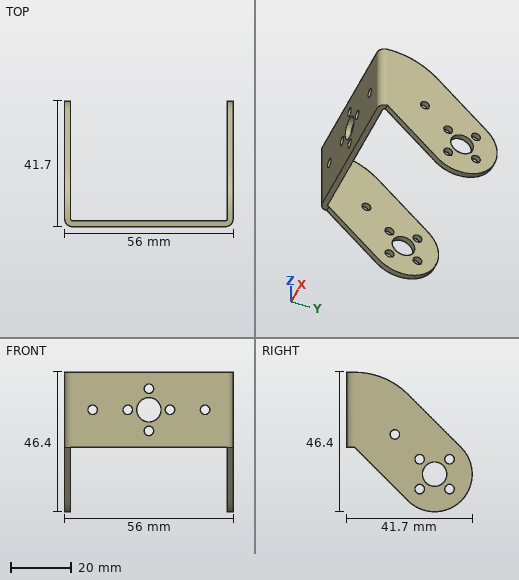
import cadquery as cq
import math

bracket_width = 56.0
overall_height = 46.35
thickness = 2.0
bend_radius = 2.7
arm_angle = math.radians(45)

center_hole_diameter = 8.0
small_hole_diameter = 3.1
bolt_circle_radius = 7.0
outlying_hole_distance = 18.65

drop_share = math.sin(arm_angle) - math.cos(arm_angle) / 2 + 0.5
band_width = overall_height / (1 + drop_share)
arm_length = band_width

half_width = bracket_width / 2
half_band = band_width / 2
inner_bend_radius = bend_radius - thickness
along_y = math.cos(arm_angle)
along_z = -math.sin(arm_angle)
across_y = -along_z
across_z = along_y


def arm_point(along, across):
    """(Y, Z) of a point measured from the corner, along and across the arm."""
    y = bend_radius + along * along_y + across * across_y
    z = along * along_z + across * across_z
    return y, z


def polar_offsets(radius, start_angle):
    """Four points evenly spaced on a circle."""
    angles = [start_angle + i * math.pi / 2 for i in range(4)]
    return [(radius * math.cos(a), radius * math.sin(a)) for a in angles]


def make_channel(bottom, height, depth):
    """U-shaped bent sheet, tall and deep enough to trim the arms from."""
    outer = (
        cq.Workplane("XY", origin=(0, depth / 2, bottom))
        .rect(bracket_width, depth)
        .extrude(height)
        .edges("|Z and <Y")
        .fillet(bend_radius)
    )
    inner = (
        cq.Workplane("XY", origin=(0, thickness + depth / 2, bottom))
        .rect(bracket_width - 2 * thickness, depth)
        .extrude(height)
        .edges("|Z and <Y")
        .fillet(inner_bend_radius)
    )
    return outer.cut(inner)


def make_side_profile():
    """Web edge, curved root and round-ended arm, extruded across the width."""
    root_middle = (
        bend_radius + band_width * math.sin(arm_angle / 2),
        band_width * math.cos(arm_angle / 2),
    )
    return (
        cq.Workplane("YZ", origin=(-half_width, 0, 0))
        .moveTo(0, 0)
        .lineTo(0, band_width)
        .lineTo(bend_radius, band_width)
        .threePointArc(root_middle, arm_point(0, band_width))
        .lineTo(*arm_point(arm_length, band_width))
        .threePointArc(arm_point(arm_length + half_band, half_band), arm_point(arm_length, 0))
        .lineTo(*arm_point(0, 0))
        .close()
        .extrude(bracket_width)
    )


def make_web_holes():
    small_points = polar_offsets(bolt_circle_radius, 0)
    small_points += [(-outlying_hole_distance, 0), (outlying_hole_distance, 0)]
    plane = cq.Workplane("XZ", origin=(0, thickness, half_band))
    center_hole = plane.circle(center_hole_diameter / 2).extrude(thickness)
    small_holes = plane.pushPoints(small_points).circle(small_hole_diameter / 2).extrude(thickness)
    return center_hole.union(small_holes)


def make_arm_holes():
    """Matching holes through both arms, centered on the rounded end."""
    center_y, center_z = arm_point(arm_length, half_band)
    small_points = polar_offsets(bolt_circle_radius, arm_angle)
    small_points.append((-outlying_hole_distance * along_y, -outlying_hole_distance * along_z))
    plane = cq.Workplane("YZ", origin=(-half_width, center_y, center_z))
    center_hole = plane.circle(center_hole_diameter / 2).extrude(bracket_width)
    small_holes = plane.pushPoints(small_points).circle(small_hole_diameter / 2).extrude(bracket_width)
    return center_hole.union(small_holes)


arm_end_y = arm_point(arm_length, half_band)[0] + half_band
arm_bottom = band_width - overall_height
channel = make_channel(arm_bottom, overall_height, arm_end_y)
result = channel.intersect(make_side_profile()).cut(make_web_holes()).cut(make_arm_holes())